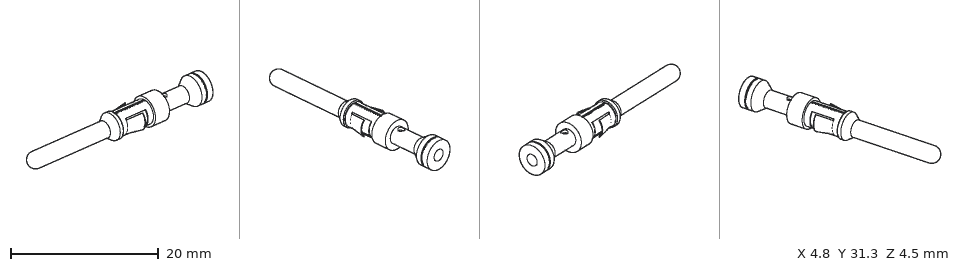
import cadquery as cq
import math

length = 31.3
pin_radius = 1.25
neck_radius = 1.28

collar_radius = 2.05
collar_cone_start = 13.65
collar_start = 14.75
collar_end = 15.35

sleeve_radius = 1.85
sleeve_wall = 0.15
core_radius = sleeve_radius - sleeve_wall
sleeve_gap = 0.1
sleeve_start = collar_end + sleeve_gap
slit_width = 0.25

head_radius = 2.25
flange_start = 20.9
flange_end = 23.45
head_cone_start = length - 3.4
head_start = length - 2.0
groove_start = length - 1.15
groove_end = length - 1.0
groove_depth = 0.2

hole_diameter = 1.0
hole_y = 24.32

bore_radius = 0.88
bore_end = 23.48

window_start = 16.37
window_end = 19.95
window_half_height = 1.28
tab_end = 19.0
tab_span = 4.8
tab_reach = tab_span / 2
tab_root_half_height = 1.1
tab_tip_half_height = 1.35


def make_body():
    """Turned body, without the sleeve."""
    groove_radius = head_radius - groove_depth
    dome_offset = pin_radius * 0.5 ** 0.5
    return (
        cq.Workplane("XY")
        .moveTo(0, 0)
        .threePointArc((dome_offset, pin_radius - dome_offset), (pin_radius, pin_radius))
        .lineTo(pin_radius, collar_cone_start)
        .lineTo(collar_radius, collar_start)
        .lineTo(collar_radius, collar_end)
        .lineTo(core_radius, collar_end)
        .lineTo(core_radius, flange_start)
        .lineTo(head_radius, flange_start)
        .lineTo(head_radius, flange_end)
        .lineTo(neck_radius, flange_end)
        .lineTo(neck_radius, head_cone_start)
        .lineTo(head_radius, head_start)
        .lineTo(head_radius, groove_start)
        .lineTo(groove_radius, groove_start)
        .lineTo(groove_radius, groove_end)
        .lineTo(head_radius, groove_end)
        .lineTo(head_radius, length)
        .lineTo(0, length)
        .close()
        .revolve(360, (0, 0, 0), (0, 1, 0))
    )


def plane_at(y):
    """Plane square to the axis, facing +Y, with its local x along +X."""
    return cq.Workplane(cq.Plane((0, y, 0), (1, 0, 0), (0, 1, 0)))


def ring_sector(workplane, half_height, shift=0.0):
    """Sleeve wall section about +X with radial ends, moved outwards by shift."""
    half_angle = math.asin(half_height / sleeve_radius)
    cosine = math.cos(half_angle)
    sine = math.sin(half_angle)
    return (
        workplane
        .moveTo(shift + core_radius * cosine, -core_radius * sine)
        .lineTo(shift + sleeve_radius * cosine, -half_height)
        .threePointArc((shift + sleeve_radius, 0), (shift + sleeve_radius * cosine, half_height))
        .lineTo(shift + core_radius * cosine, core_radius * sine)
        .threePointArc((shift + core_radius, 0), (shift + core_radius * cosine, -core_radius * sine))
        .close()
    )


def make_sleeve():
    """Thin tube with a slit along the top and a window on each side."""
    sleeve_length = flange_start - sleeve_start
    tube = plane_at(sleeve_start).circle(sleeve_radius).circle(core_radius).extrude(sleeve_length)
    slit = cq.Workplane("XY").box(
        slit_width, sleeve_length, sleeve_radius, centered=(True, False, False)
    ).translate((0, sleeve_start, 0))
    window = (
        ring_sector(plane_at(window_start), window_half_height)
        .extrude(window_end - window_start)
    )
    return tube.cut(slit).cut(window).cut(window.mirror("YZ"))


def make_tab():
    """Curved spring tab on the +X side, leaning out and widening towards its free end."""
    root = ring_sector(plane_at(window_start), tab_root_half_height)
    tip_plane = root.workplane(offset=tab_end - window_start)
    tip = ring_sector(tip_plane, tab_tip_half_height, tab_reach - sleeve_radius)
    return tip.loft(ruled=True)


def make_crimp_bore():
    """Blind bore along the axis, open at the rear end."""
    return plane_at(bore_end).circle(bore_radius).extrude(length - bore_end)


def make_inspection_hole():
    """Hole from the top of the neck into the crimp bore."""
    return cq.Workplane("XY", origin=(0, hole_y, 0)).circle(hole_diameter / 2).extrude(neck_radius)


tab = make_tab()
result = (
    make_body()
    .union(make_sleeve())
    .union(tab)
    .union(tab.mirror("YZ"))
    .cut(make_crimp_bore())
    .cut(make_inspection_hole())
)